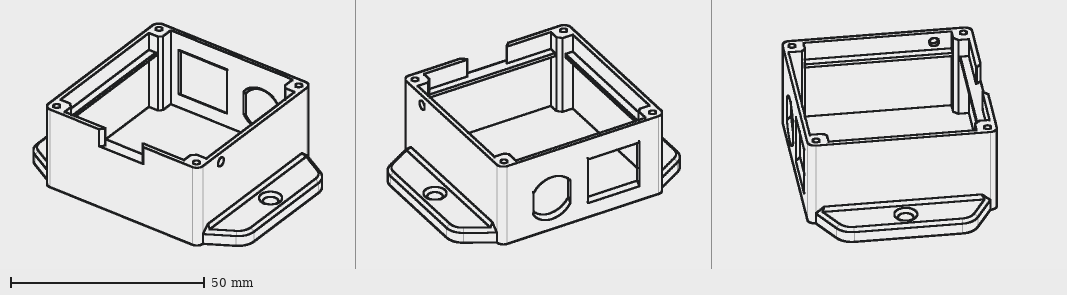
import cadquery as cq
import math

box_side = 49.5
box_height = 24.1
corner_radius = 1.95
floor_thickness = 1.25
wall_thickness = 1.4
back_wall_thickness = 1.1
half_side = box_side / 2
inner_half_width = half_side - wall_thickness
inner_front_y = -half_side + wall_thickness
inner_back_y = half_side - back_wall_thickness

back_post_width = 5.2
back_post_depth = 5.5
back_post_chamfer = 0.9
front_post_width = 5.6
front_post_depth = 5.35
front_post_chamfer = 1.2
screw_hole_diameter = 1.8
screw_hole_depth = 10.0
screw_hole_inset = 2.35

ledge_reach = 2.2
ledge_thickness = 1.0
ledge_top = 18.9

flange_length = 69.5
flange_thickness = 4.0
flange_edge_chamfer = 1.0
flange_root_rise = 1.0
flange_side_angle = 30.0
flange_corner_radius = 5.0
mount_hole_diameter = 4.0
countersink_diameter = 6.0
flange_half_length = flange_length / 2
flange_root_half_width = half_side - corner_radius
mount_hole_x = (half_side + flange_half_length) / 2

notch_width = 11.95
notch_flare = 1.1
window_spacing = 18.6
window_width = 15.4
window_bottom = 5.5
window_top = 19.05
socket_diameter = 13.0
socket_width = 11.1
socket_height = 10.8
cable_hole_diameter = 2.5
cable_hole_y = -14.9
cable_hole_height = 21.2


def block(x_range, y_range, z_range):
    """Box spanning the given (low, high) pairs along X, Y and Z."""
    sizes = [high - low for low, high in (x_range, y_range, z_range)]
    corner = (x_range[0], y_range[0], z_range[0])
    return cq.Workplane("XY").box(*sizes, centered=False).translate(corner)


def flange_plate():
    """One plate through the box that forms both flanges, with its upper edges bevelled at 45 degrees."""
    end_half_width = flange_root_half_width - (flange_half_length - half_side) * math.tan(
        math.radians(flange_side_angle)
    )
    outline = [
        (half_side, -flange_root_half_width),
        (flange_half_length, -end_half_width),
        (flange_half_length, end_half_width),
        (half_side, flange_root_half_width),
        (-half_side, flange_root_half_width),
        (-flange_half_length, end_half_width),
        (-flange_half_length, -end_half_width),
        (-half_side, -flange_root_half_width),
    ]
    root_height = flange_thickness + flange_root_rise
    plate = cq.Workplane("XY").polyline(outline).close().extrude(root_height)
    plate = plate.edges("|Z and (>X or <X)").fillet(flange_corner_radius)
    plate = plate.faces(">Z").chamfer(flange_edge_chamfer + flange_root_rise)

    slope_end = half_side + flange_root_rise
    side_profile = [
        (-flange_half_length, 0),
        (flange_half_length, 0),
        (flange_half_length, flange_thickness),
        (slope_end, flange_thickness),
        (half_side, root_height),
        (-half_side, root_height),
        (-slope_end, flange_thickness),
        (-flange_half_length, flange_thickness),
    ]
    envelope = cq.Workplane("XZ").polyline(side_profile).close().extrude(half_side, both=True)
    return plate.intersect(envelope)


def mount_holes():
    """Countersunk through holes in the flanges."""
    countersink_depth = (countersink_diameter - mount_hole_diameter) / 2
    centres = [(-mount_hole_x, 0), (mount_hole_x, 0)]
    shafts = cq.Workplane("XY").pushPoints(centres).circle(mount_hole_diameter / 2).extrude(flange_thickness)
    cones = (
        cq.Workplane("XY", origin=(0, 0, flange_thickness))
        .pushPoints(centres)
        .circle(countersink_diameter / 2)
        .extrude(-countersink_depth, taper=45)
    )
    return shafts.union(cones)


def post(sign_x, width, sign_y, depth, chamfer):
    """Corner post with a chamfered inner edge, from the floor to the rim."""
    inner_x = half_side - width
    inner_y = half_side - depth
    outline = [
        (half_side, half_side),
        (inner_x, half_side),
        (inner_x, inner_y + chamfer),
        (inner_x + chamfer, inner_y),
        (half_side, inner_y),
    ]
    signed_outline = [(sign_x * x, sign_y * y) for x, y in outline]
    return cq.Workplane("XY").polyline(signed_outline).close().extrude(box_height)


def ledge():
    """U-shaped shelf, open towards the back wall."""
    levels = (ledge_top - ledge_thickness, ledge_top)
    shelf = block((-half_side, half_side), (-half_side, half_side), levels)
    opening_half_width = inner_half_width - ledge_reach
    opening = block(
        (-opening_half_width, opening_half_width), (inner_front_y + ledge_reach, half_side), levels
    )
    return shelf.cut(opening)


def front_notch():
    """Notch in the front rim, down to the ledge, widening at 45 degrees towards the outside."""
    half_width = notch_width / 2
    flare_start_y = -half_side + notch_flare
    outline = [
        (half_width, inner_front_y),
        (half_width, flare_start_y),
        (half_width + notch_flare, -half_side),
        (-half_width - notch_flare, -half_side),
        (-half_width, flare_start_y),
        (-half_width, inner_front_y),
    ]
    notch = cq.Workplane("XY", origin=(0, 0, ledge_top)).polyline(outline).close()
    return notch.extrude(box_height - ledge_top)


def slanted_cut(outline):
    """Solid from an outline on the inner face of the back wall, running outwards and down at 45 degrees."""
    direction = cq.Vector(0, back_wall_thickness, -back_wall_thickness)
    return cq.Workplane(cq.Solid.extrudeLinear(outline.val(), [], direction))


def window():
    """Rectangular opening in the left half of the back wall."""
    height = window_top - window_bottom
    centre = (-window_spacing / 2, inner_back_y, window_bottom + height / 2)
    return slanted_cut(cq.Workplane("XZ", origin=centre).rect(window_width, height))


def socket_opening():
    """Round opening with two vertical flats, in the right half of the back wall."""
    radius = socket_diameter / 2
    flat_x = socket_width / 2
    flat_end = math.sqrt(radius**2 - flat_x**2)
    centre = (window_spacing / 2, inner_back_y, socket_height)
    outline = (
        cq.Workplane("XZ", origin=centre)
        .moveTo(flat_x, -flat_end)
        .lineTo(flat_x, flat_end)
        .threePointArc((0, radius), (-flat_x, flat_end))
        .lineTo(-flat_x, -flat_end)
        .threePointArc((0, -radius), (flat_x, -flat_end))
        .wire()
    )
    return slanted_cut(outline)


def cable_hole():
    """Small round hole through the right wall, above the ledge."""
    start = (inner_half_width, cable_hole_y, cable_hole_height)
    return cq.Workplane("YZ", origin=start).circle(cable_hole_diameter / 2).extrude(wall_thickness)


def screw_holes():
    """Blind holes down from the rim into the posts."""
    spacing = box_side - 2 * screw_hole_inset
    top = cq.Workplane("XY", origin=(0, 0, box_height)).rarray(spacing, spacing, 2, 2)
    return top.circle(screw_hole_diameter / 2).extrude(-screw_hole_depth)


outer_box = cq.Workplane("XY").rect(box_side, box_side).extrude(box_height)
outer_box = outer_box.edges("|Z").fillet(corner_radius)

cavity = block(
    (-inner_half_width, inner_half_width), (inner_front_y, inner_back_y), (floor_thickness, box_height)
)
for side in (-1, 1):
    cavity = cavity.cut(post(side, back_post_width, 1, back_post_depth, back_post_chamfer))
    cavity = cavity.cut(post(side, front_post_width, -1, front_post_depth, front_post_chamfer))
cavity = cavity.cut(ledge())

result = outer_box.union(flange_plate()).cut(cavity)
for opening in (mount_holes(), screw_holes(), front_notch(), window(), socket_opening(), cable_hole()):
    result = result.cut(opening)